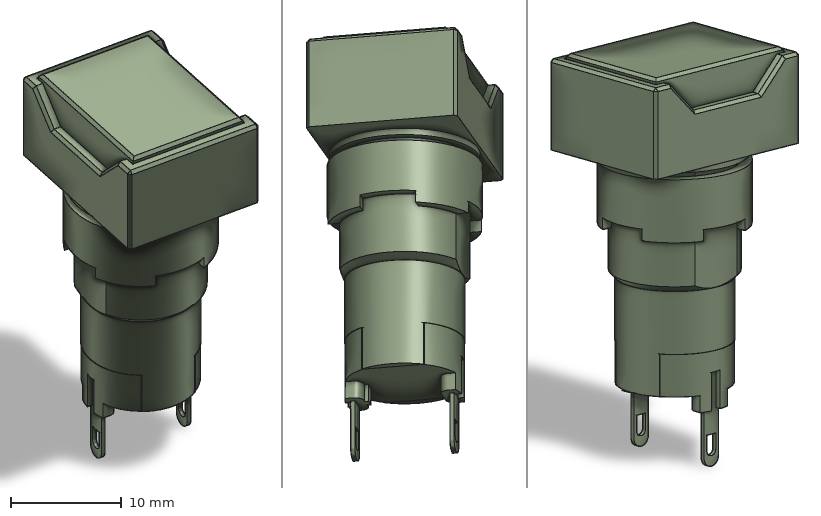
import cadquery as cq

lens_top_z = 38.0
bezel_top_z = 37.5
bezel_bottom_z = 29.0
flange_bottom_z = 28.4
nut_top_z = 27.8
nut_bottom_z = 21.9
thread_bottom_z = 16.9
barrel_bottom_z = 7.0
boss_bottom_z = 5.4

bezel_length = 18.0
bezel_width = 14.0
edge_chamfer = 0.3
notch_depth = 3.0
notch_bottom_half = 4.0
notch_top_half = notch_bottom_half + notch_depth

lens_length = 15.8
lens_width = 11.8
lens_height = 4.0
lens_chamfer = 0.3
lens_clearance = 0.1
lens_bottom_z = lens_top_z - lens_height

flange_radius = 6.8
thread_radius = 6.0
thread_flat = 5.4
thread_chamfer = 0.6
barrel_radius = 5.45

nut_radius = 7.0
nut_notch_width = 5.15
nut_notch_height = 1.1

base_radius = 5.4
base_half_width = 4.6
base_height = 4.0
base_top_z = barrel_bottom_z + base_height
boss_width = 3.4
boss_inner_y = 3.6
boss_fillet = 0.8
key_width = 1.0
key_depth = 0.35

terminal_width = 1.8
terminal_thickness = 0.4
terminal_inner_y = 4.4
terminal_outer_y = terminal_inner_y + terminal_thickness
terminal_top_z = 9.0
terminal_slot_width = 1.1
eye_top_z = 3.0
eye_bottom_z = 1.0


def cylinder(radius, bottom, top):
    return cq.Workplane("XY").workplane(offset=bottom).circle(radius).extrude(top - bottom)


def block(x_size, y_size, bottom, top):
    return cq.Workplane("XY").workplane(offset=bottom).rect(x_size, y_size).extrude(top - bottom)


def base_envelope():
    """Round plug with two flat sides, filling the slot across the barrel end."""
    plug = cylinder(base_radius, barrel_bottom_z, base_top_z)
    return plug.intersect(block(2 * base_half_width, 2 * base_radius, barrel_bottom_z, base_top_z))


def make_bezel():
    notch_floor_z = bezel_top_z - notch_depth
    outline = [
        (-bezel_length / 2, bezel_bottom_z),
        (bezel_length / 2, bezel_bottom_z),
        (bezel_length / 2, bezel_top_z),
        (notch_top_half, bezel_top_z),
        (notch_bottom_half, notch_floor_z),
        (-notch_bottom_half, notch_floor_z),
        (-notch_top_half, bezel_top_z),
        (-bezel_length / 2, bezel_top_z),
    ]
    bezel = cq.Workplane("XZ").polyline(outline).close().extrude(bezel_width / 2, both=True)
    above_bottom = cq.selectors.BoxSelector(
        (-bezel_length, -bezel_width, bezel_bottom_z + edge_chamfer),
        (bezel_length, bezel_width, lens_top_z),
    )
    side_edges = bezel.faces("<Y or >Y or <X or >X").edges(above_bottom)
    bezel = side_edges.chamfer(edge_chamfer)
    opening = block(
        lens_length + 2 * lens_clearance, lens_width + 2 * lens_clearance, lens_bottom_z, lens_top_z
    )
    return bezel.cut(opening)


def make_thread():
    """Neck that carries the nut, flattened on both Y sides and chamfered at its lower end."""
    thread = cylinder(thread_radius, thread_bottom_z, flange_bottom_z)
    thread = thread.faces("<Z").chamfer(thread_chamfer)
    return thread.intersect(
        block(2 * thread_radius, 2 * thread_flat, thread_bottom_z, flange_bottom_z)
    )


def make_housing():
    barrel = cylinder(barrel_radius, barrel_bottom_z, thread_bottom_z)
    base_slot = block(2 * base_half_width, 2 * barrel_radius, barrel_bottom_z, base_top_z)
    housing = make_bezel().union(cylinder(flange_radius, flange_bottom_z, bezel_bottom_z))
    return housing.union(make_thread()).union(barrel.cut(base_slot))


def make_lens():
    return block(lens_length, lens_width, lens_bottom_z, lens_top_z).faces(">Z").chamfer(lens_chamfer)


def make_nut():
    """Ring nut with two crossing wrench notches in its lower face."""
    nut = cylinder(nut_radius, nut_bottom_z, nut_top_z)
    nut = nut.cut(cylinder(thread_radius, nut_bottom_z, nut_top_z))
    notch_top_z = nut_bottom_z + nut_notch_height
    nut = nut.cut(block(nut_notch_width, 2 * nut_radius, nut_bottom_z, notch_top_z))
    return nut.cut(block(2 * nut_radius, nut_notch_width, nut_bottom_z, notch_top_z))


def make_boss():
    """Boss on the +Y side, following the round of the plug and rounded at its inner corners."""
    boss = (
        cq.Workplane("XY")
        .workplane(offset=boss_bottom_z)
        .center(0, (boss_inner_y + base_radius) / 2)
        .rect(boss_width, base_radius - boss_inner_y)
        .extrude(barrel_bottom_z - boss_bottom_z)
    )
    boss = boss.edges("|Z and <Y").fillet(boss_fillet)
    return boss.intersect(cylinder(base_radius, boss_bottom_z, barrel_bottom_z))


def make_terminal():
    """Flat solder terminal on the +Y side with a round tip and an eye rounded at its lower end."""
    tip_radius = terminal_width / 2
    eye_radius = terminal_slot_width / 2
    plane = cq.Workplane("XZ", origin=(0, terminal_outer_y, 0))
    blade = (
        plane.moveTo(-tip_radius, terminal_top_z)
        .lineTo(-tip_radius, tip_radius)
        .threePointArc((0, 0), (tip_radius, tip_radius))
        .lineTo(tip_radius, terminal_top_z)
        .close()
        .extrude(terminal_thickness)
    )
    eye = (
        plane.moveTo(-eye_radius, eye_top_z)
        .lineTo(-eye_radius, eye_bottom_z + eye_radius)
        .threePointArc((0, eye_bottom_z), (eye_radius, eye_bottom_z + eye_radius))
        .lineTo(eye_radius, eye_top_z)
        .close()
        .extrude(terminal_thickness)
    )
    return blade.cut(eye)


def make_terminal_slot():
    """Open slot in the outer wall of the +Y side, down to the face of the terminal."""
    depth = base_radius - terminal_outer_y
    slot = block(terminal_slot_width, depth, boss_bottom_z, terminal_top_z)
    return slot.translate((0, terminal_outer_y + depth / 2, 0))


def make_base():
    base = base_envelope()
    for angle in (0, 180):
        axis = ((0, 0, 0), (0, 0, 1), angle)
        base = base.union(make_boss().rotate(*axis))
        base = base.cut(make_terminal_slot().rotate(*axis))
        base = base.union(make_terminal().rotate(*axis))
    key = block(key_width, key_depth, boss_bottom_z, barrel_bottom_z)
    return base.union(key.translate((0, boss_inner_y - key_depth / 2, 0)))


housing = make_housing()
lens = make_lens()
nut = make_nut()
terminal_base = make_base()

result = cq.Compound.makeCompound([housing.val(), lens.val(), nut.val(), terminal_base.val()])